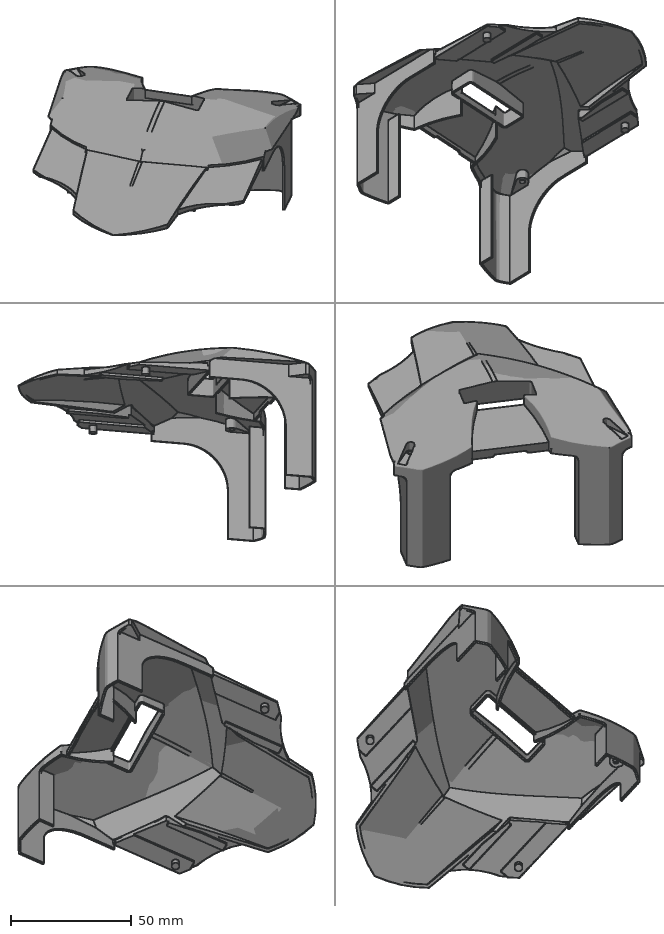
import cadquery as cq
import math


half_width = 50.715
length = 117.18
top_height = 18.8
overall_height = 61.72
leg_bottom = top_height - overall_height
skin = 1.5
sheet = 0.8
above = top_height + 10
overlap = 1.0

crown_y = -38.0
crown_z = top_height + 0.1445
crown_rear_y = 3.0
crown_front_y = -90.0
crown_side_x = 52.0
lengthwise_bow = 0.0049
side_slope = 0.13
sideways_bow = 0.001
roll_start = (-44.0, -2.5)
roll_end = (-15.0, -33.0)
roll_bow = 0.00052
ridge_half = 1.0

ledge_z = 5.2
band_low_z = 2.0
band_high_z = 20.0
wall_overlap = 0.2
shoulder = (-48.2, -42.5)
shoulder_rate = (0.758, 0.984)
prow_y = -81.0
prow_rate = 1.25
band_sagitta = 3.3
step_outer = (-46.1, -47.0)
step_mid = (-36.5, -55.8)
step_inner = (-26.3, -62.7)
crease_corner = (-43.5, -36.4, 11.4)
crease_radius = 1.0
rear_edge_radius = 0.6
side_lean = 0.086
band_rear_y = 5.0

corner_y = -5.7
wing_tip_outer = (-42.7, -1.0)
wing_tip_mid = (-41.3, -0.3)
wing_tip = (-39.7, 0.0)
wing_mid = (-30.0, -2.3)
wing_inner = (-16.8, -8.0)
notch_mid = (-14.6, -18.0)
notch_inner = (-10.0, -29.0)
lug_outer_y = -7.1
lug_inner_y = -13.2

panel_x = 46.0
panel_front_y = -47.2
panel_bottom = -2.95
leg_front_y = -14.3
leg_arc_radius = 19.0
leg_inner_x = 27.4
leg_inner_front_y = -9.9
gusset_radius = 2.5

window_half = 15.5
window_rear_y = notch_inner[1]
window_front_y = -39.2
window_corner = 0.8
floor_rear = (-10.5, 4.0)
floor_front = (window_rear_y, 12.3)
floor_thick = 1.0
collar_bottom = 8.7
relief_half = 6.5
relief_height = 1.1

plate_bottom = 1.1
nose_root = (-25.9, -62.5)
nose_corner = (-20.3, -106.0)
nose_arc_mid = (-11.0, -112.6)
nose_rear_y = -60.0
nose_ridge_y = -74.1
nose_ridge_z = 10.75
tip_z = 1.3
nose_bulge = 0.5
nose_slope = 0.265
nose_ridge_half = 1.0
flap_x = 45.3
flap_corner_y = -77.4
flap_curve = ((-39.0, -82.5), (-30.0, -87.1), (-21.8, -94.8))
flap_slope_x = 0.16
flap_slope_y = 0.072
flap_root_z = 5.2

peg = (-41.4, -73.6)
peg_radius = 1.6
peg_length = 2.95
pad_inner_x = 37.6
pad_front_y = -80.5
rail_front_y = -88.8
rail_outer_x = 27.4
rail_inner_x = 24.0

screw = (-42.1, -13.6)
screw_hole_radius = 1.15
slot_half = 1.8
slot_angle = 123.0
slot_length = 14.0
slot_floor = ledge_z


def mirrored(shape):
    """The shape joined with its mirror image about X = 0."""
    return shape.union(shape.mirror("YZ"))


def flip(point):
    """The mirror image of an (X, Y) point about X = 0."""
    return (-point[0], point[1])


def block(x0, x1, y0, y1, z0, z1):
    """Box between two corners."""
    return cq.Workplane("XY").box(x1 - x0, y1 - y0, z1 - z0, centered=False).translate((x0, y0, z0))


def solid_below(height, x0, x1, y0, y1):
    """Solid under the surface z = height(x, y), reaching down well past the part."""
    steps = 24
    tolerance = 0.02
    grid = [
        [cq.Vector(x, y, height(x, y)) for y in (y0 + (y1 - y0) * j / steps for j in range(steps + 1))]
        for x in (x0 + (x1 - x0) * i / steps for i in range(steps + 1))
    ]
    face = cq.Face.makeSplineApprox(grid, tol=tolerance, minDeg=2, maxDeg=5)
    return cq.Workplane(cq.Solid.extrudeLinear(face, cq.Vector(0, 0, -overall_height)))


def edges_meeting_at(solid, corner, tolerance=0.5):
    """Edges that end at the corner point or at its mirror image."""
    target = cq.Vector(*corner)

    def ends_there(point):
        return (cq.Vector(-abs(point.x), point.y, point.z) - target).Length < tolerance

    return [
        edge for edge in solid.edges().vals()
        if ends_there(edge.startPoint()) or ends_there(edge.endPoint())
    ]


def crown_height(x, y):
    """Height of the crown on the -X side of its ridge."""
    run_x = roll_end[0] - roll_start[0]
    run_y = roll_end[1] - roll_start[1]
    behind = (run_x * (y - roll_start[1]) - run_y * (x - roll_start[0])) / math.hypot(run_x, run_y)
    roll = roll_bow * max(behind, 0) ** 2 * max(y - window_front_y, 0)
    return crown_z - lengthwise_bow * (y - crown_y) ** 2 + side_slope * x - sideways_bow * x**2 - roll


def nose_height(x, y):
    """Height of the nose on the -X side of its ridge."""
    along = (y + length) / (length + nose_ridge_y)
    ridge = tip_z + (nose_ridge_z - tip_z) * along + 4 * nose_bulge * along * (1 - along)
    return ridge + nose_slope * x * (y + length) / (length + nose_root[1])


def band_outline(z):
    """Closed outline of the sloping bands at height z."""
    rise = z - ledge_z
    corner_x = shoulder[0] + shoulder_rate[0] * rise
    corner_y_at = shoulder[1] + shoulder_rate[1] * rise
    point_y = prow_y + prow_rate * rise
    run_y = corner_y_at - point_y
    chord = math.hypot(corner_x, run_y)
    middle_x = corner_x / 2 - band_sagitta * run_y / chord
    middle_y = point_y + run_y / 2 + band_sagitta * corner_x / chord
    rear_x = corner_x - side_lean * (band_rear_y - corner_y_at)
    return (
        cq.Workplane("XY", origin=(0, 0, z))
        .moveTo(rear_x, band_rear_y).lineTo(corner_x, corner_y_at)
        .threePointArc((middle_x, middle_y), (0, point_y))
        .threePointArc((-middle_x, middle_y), (-corner_x, corner_y_at))
        .lineTo(-rear_x, band_rear_y).close().wire().val()
    )


def rear_plan(half, inset=0.0):
    """Upright prism of the hood plan, bounded at the rear by the wings and the notch between them."""
    tip_x, tip_y = wing_tip_outer
    corner_at = tip_y + (corner_y - tip_y) * (half + tip_x) / (half_width + tip_x)
    plan = (
        cq.Workplane("XY", origin=(0, 0, leg_bottom))
        .moveTo(-half, -length).lineTo(-half, corner_at).lineTo(*wing_tip_outer)
        .threePointArc(wing_tip_mid, wing_tip)
        .threePointArc(wing_mid, wing_inner).threePointArc(notch_mid, notch_inner)
        .lineTo(*flip(notch_inner)).threePointArc(flip(notch_mid), flip(wing_inner))
        .threePointArc(flip(wing_mid), flip(wing_tip))
        .threePointArc(flip(wing_tip_mid), flip(wing_tip_outer))
        .lineTo(half, corner_at).lineTo(half, -length).close()
    )
    if inset:
        plan = plan.offset2D(-inset)
    return plan.extrude(above - leg_bottom)


def make_crown():
    """Crown and sloping bands, closed at the bottom, with sharp creases."""
    crown = mirrored(solid_below(crown_height, -crown_side_x, 0, crown_front_y, crown_rear_y))
    front_y = prow_y
    middle_y = (front_y + crown_y) / 2
    ridge_line = [(y, crown_height(-ridge_half, y)) for y in (front_y, middle_y, crown_y)]
    ridge_flat = (
        cq.Workplane("YZ", origin=(-ridge_half, 0, 0))
        .moveTo(*ridge_line[0]).threePointArc(*ridge_line[1:])
        .lineTo(crown_y, above).lineTo(front_y, above).close().extrude(2 * ridge_half)
    )
    bands = cq.Workplane(cq.Solid.makeLoft([band_outline(band_low_z), band_outline(band_high_z)], True))
    return crown.cut(ridge_flat).intersect(bands)


def soften_creases(crown):
    """The crown with its creases and band corners rounded."""
    return crown.newObject(edges_meeting_at(crown, crease_corner)).fillet(crease_radius)


def band_trim(rearward=0.0):
    """Region ahead of the upright step where the front band stops above a flap."""
    inner_x = step_inner[0]
    return (
        cq.Workplane("XY")
        .moveTo(*step_outer).threePointArc(step_mid, step_inner).lineTo(inner_x, -length)
        .lineTo(-half_width, -length).lineTo(-half_width, step_outer[1] - half_width - step_outer[0])
        .close().extrude(above).translate((0, rearward, 0))
    )


def make_body(crown):
    """Crown trimmed to the hood plan, with the upright walls below it."""
    body = soften_creases(crown).intersect(rear_plan(half_width))
    rear_edges = [
        edge for edge in body.edges().vals()
        if edge.Center().y > notch_inner[1] + overlap
        and edge.Center().z > ledge_z - overlap
        and abs(edge.Center().x) < abs(wing_tip_outer[0])
        and min(edge.startPoint().y, edge.endPoint().y) > notch_inner[1] - overlap
    ]
    body = body.newObject(rear_edges).fillet(rear_edge_radius).cut(mirrored(band_trim()))
    overhang = (
        cq.Workplane("XY", origin=(0, 0, -overlap))
        .moveTo(-panel_x, -length).lineTo(-panel_x, lug_inner_y).lineTo(-half_width, lug_outer_y)
        .lineTo(-half_width - overlap, -length).close().extrude(ledge_z + overlap)
    )
    body = body.cut(mirrored(overhang))
    below = block(-half_width, half_width, panel_front_y, overlap, 0, band_low_z + wall_overlap)
    below = below.intersect(rear_plan(half_width))
    return body.union(below.cut(mirrored(overhang)))


def nose_plan(inset=0.0):
    """Upright prism of the nose plan, standing on the plate underside."""
    plan = (
        cq.Workplane("XY", origin=(0, 0, plate_bottom))
        .moveTo(nose_root[0], nose_rear_y).lineTo(*nose_root).lineTo(*nose_corner)
        .threePointArc(nose_arc_mid, (0, -length)).threePointArc(flip(nose_arc_mid), flip(nose_corner))
        .lineTo(*flip(nose_root)).lineTo(-nose_root[0], nose_rear_y).close()
    )
    if inset:
        plan = plan.offset2D(-inset)
    return plan.extrude(above)


def make_nose():
    """Solid under the nose surface, with a ridge strip that tapers to the tip."""
    surface = mirrored(solid_below(nose_height, nose_root[0] - overlap, 0, -length, nose_rear_y))
    taper = nose_ridge_half / (length + nose_rear_y)

    def ridge_height(_, y):
        return nose_height(-taper * (y + length), y)

    ridge_plan = (
        cq.Workplane("XY").moveTo(0, -length).lineTo(nose_ridge_half, nose_rear_y)
        .lineTo(-nose_ridge_half, nose_rear_y).close().extrude(above)
    )
    side = 2 * nose_ridge_half
    below_flat = solid_below(ridge_height, -side, side, -length - overlap, nose_rear_y + overlap)
    ridge_flat = ridge_plan.cut(below_flat)
    return surface.cut(ridge_flat)


def flap_z(x, y):
    """Height of the sloping flap on the -X side."""
    return flap_root_z + flap_slope_x * (x - nose_root[0]) + flap_slope_y * (y - nose_root[1])


def flap_plan():
    """Upright prism of the flap plan."""
    return (
        cq.Workplane("XY")
        .moveTo(-flap_x, panel_front_y + overlap).lineTo(-flap_x, flap_corner_y).lineTo(*flap_curve[0])
        .spline(flap_curve[1:], includeCurrent=True)
        .lineTo(nose_root[0], nose_root[1] + overlap).close().extrude(above)
    )


def make_flap():
    """Sloping plate beside the nose, with a peg pad and a rail on its underside."""
    pad = block(-flap_x, -pad_inner_x, pad_front_y, panel_front_y, 0, plate_bottom)
    rail = block(-rail_outer_x, -rail_inner_x, rail_front_y, nose_root[1], 0, plate_bottom)
    slab = block(-half_width, 0, -length, 0, plate_bottom, above)
    surface = solid_below(flap_z, -half_width, 0, -length, 0)
    pin = cq.Workplane("XY", origin=(peg[0], peg[1], -peg_length)).circle(peg_radius).extrude(
        peg_length + plate_bottom
    )
    return slab.union(pad).union(rail).intersect(surface).intersect(flap_plan()).union(pin)


def make_cavity(crown, nose_surface):
    """Hollow under the skin, open at the bottom."""
    drop = (0, 0, -skin)
    inner_plan = rear_plan(panel_x, sheet)
    low = block(-panel_x, panel_x, panel_front_y - overlap, 0, -overlap, ledge_z - skin)
    under_crown = crown.translate(drop).union(low).intersect(inner_plan)
    under_crown = under_crown.cut(mirrored(band_trim(skin)))
    under_nose = nose_surface.translate(drop).intersect(nose_plan(skin).translate(drop))
    return under_crown.union(under_nose)


def make_floor():
    """Sloping floor between the wings, carried by a wall under its rear edge."""
    rear_y, rear_z = floor_rear
    front_y, front_z = floor_front
    plate = (
        cq.Workplane("YZ")
        .moveTo(rear_y, rear_z).lineTo(front_y, front_z).lineTo(front_y, collar_bottom)
        .lineTo(front_y + sheet, collar_bottom).lineTo(front_y + sheet, front_z - floor_thick)
        .lineTo(rear_y - sheet, rear_z - floor_thick).lineTo(rear_y - sheet, 0).lineTo(rear_y, 0)
        .close().extrude(-wing_inner[0], both=True)
    )
    relief = (
        cq.Workplane("XZ")
        .polyline([
            (-relief_half - relief_height, 0), (-relief_half, relief_height),
            (relief_half, relief_height), (relief_half + relief_height, 0),
        ]).close().extrude(length)
    )
    between_wings = (
        cq.Workplane("XY").moveTo(*wing_inner).threePointArc(notch_mid, notch_inner)
        .lineTo(*flip(notch_inner)).threePointArc(flip(notch_mid), flip(wing_inner))
        .close().extrude(above)
    )
    return plate.cut(relief).intersect(between_wings)


def window_block(bottom, margin=0.0):
    """Rounded prism of the window, grown outward by margin."""
    half = window_half + margin
    prism = block(-half, half, window_front_y - margin, window_rear_y + margin, bottom, above)
    return prism.edges("|Z").fillet(window_corner + margin)


def make_legs():
    """Thin legs that follow the rear outline and carry on forward as side panels."""
    ring = rear_plan(panel_x).cut(rear_plan(panel_x, sheet))
    arc_y = leg_front_y - leg_arc_radius
    arc_z = panel_bottom - leg_arc_radius
    bend = leg_arc_radius * math.sqrt(0.5)
    profile = (
        cq.Workplane("YZ")
        .moveTo(overlap, leg_bottom).lineTo(leg_front_y, leg_bottom).lineTo(leg_front_y, arc_z)
        .threePointArc((arc_y + bend, arc_z + bend), (arc_y, panel_bottom))
        .lineTo(panel_front_y, panel_bottom).lineTo(panel_front_y, ledge_z - skin)
        .lineTo(overlap, ledge_z - skin).close().extrude(panel_x + overlap, both=True)
    )
    gap = block(-leg_inner_x, leg_inner_x, -length, overlap, leg_bottom, above)
    outer_leg = ring.intersect(profile).cut(gap)
    inner_wall = block(-leg_inner_x - sheet, -leg_inner_x, leg_inner_front_y, 0, leg_bottom, overlap)
    inner_wall = inner_wall.intersect(rear_plan(panel_x))
    return outer_leg.union(mirrored(inner_wall))


def make_gussets():
    """Concave fillets between each leg and the seating plane."""
    ring = rear_plan(half_width).cut(rear_plan(half_width, sheet))

    def gusset(x, outward):
        tip_x = x + outward * gusset_radius
        bend = gusset_radius * (1 - math.sqrt(0.5))
        profile = (
            cq.Workplane("XZ")
            .moveTo(x, -gusset_radius).threePointArc((x + outward * bend, -bend), (tip_x, 0))
            .lineTo(tip_x, overlap).lineTo(x, overlap).close().extrude(-leg_front_y)
        )
        return profile.intersect(ring)

    return mirrored(gusset(-leg_inner_x, 1).union(gusset(-panel_x, -1)))


def screw_slot(bottom, margin=0.0):
    """Round-ended prism running from a screw hole out through the wing corner."""
    half = slot_half + margin
    return (
        cq.Workplane("XY").center(slot_length / 2, 0).rect(slot_length, 2 * half).extrude(above)
        .union(cq.Workplane("XY").circle(half).extrude(above))
        .rotate((0, 0, 0), (0, 0, 1), slot_angle).translate((*screw, bottom))
    )


def screw_hole():
    """Round hole through the floor of the slot."""
    return cq.Workplane("XY").circle(screw_hole_radius).extrude(above).translate((*screw, 0))


crown = make_crown()
nose_surface = make_nose()
hood = make_body(crown).union(nose_surface.intersect(nose_plan()))

linings = window_block(collar_bottom, sheet).union(mirrored(screw_slot(slot_floor - skin, sheet)))
openings = window_block(0).union(mirrored(screw_slot(slot_floor).union(screw_hole())))
cavity = make_cavity(crown, nose_surface).cut(linings)

legs = make_legs().union(make_gussets()).union(make_floor())
result = hood.cut(cavity).cut(openings).union(legs).union(mirrored(make_flap()))